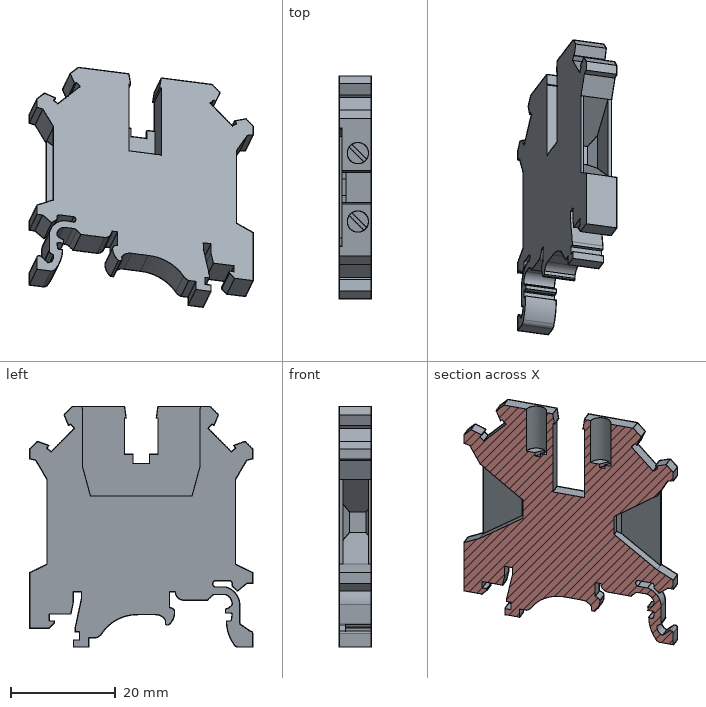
import cadquery as cq

thickness = 6.15
height = 45.9
half_length = 21.25
half_waist = 18.0
shoulder_z = 14.25
waist_bottom_z = 15.85
waist_top_z = 32.0

slot_half_width = 3.15
slot_lip = 0.3
slot_lip_depth = 2.25
notch_half_width = 1.55
notch_ledge_z = 36.8
notch_floor_z = 35.0
web_back_x = 1.35

recess_depth = 0.55
recess_floor_z = 28.83
recess_half_width = 11.15
recess_floor_half_width = 9.7
recess_taper_z = 34.3
recess_flare = 0.15
recess_flare_z = 45.0

screw_x = 3.6
screw_y = 6.5
screw_hole_diameter = 4.05
screw_hole_depth = 9.2
screw_slot_width = 0.75
screw_slot_depth = 0.75
screw_slot_angle = -45

funnel_min_x = 0.75
funnel_max_x = 5.6
funnel_depth = 8.7
funnel_side_slope = 0.6
throat_min_x = 2.0
throat_max_x = 5.1
throat_min_z = 21.9
throat_max_z = 25.75

groove_start_x = 1.25
groove_top_z = 4.35
groove_back_y = -18.05
toe_z = 2.6
lip_y = -20.8
lip_z = 3.08

rail_slot_z = 10.55
seat_z = 8.95
arch_z = 6.2
spring_outer_y = -18.8
spring_tip_y = -17.3
latch_z = 12.15
relief_top_z = 12.65
relief_bottom_z = 11.5

head_side = [
    (half_length, shoulder_z),
    (half_waist, waist_bottom_z),
    (half_waist, waist_top_z),
    (20.1, 35.6),
    (half_length, 35.9),
    (half_length, 37.78),
    (19.8, 39.25),
    (17.6, 38.45),
    (18.0, 37.95),
    (17.15, 37.25),
    (12.75, 41.72),
    (13.5, 42.5),
    (13.85, 42.25),
    (14.75, 44.3),
    (13.15, height),
]


def mirrored(points):
    """Points reflected across the Y = 0 plane, in reverse order."""
    return [(-y, z) for y, z in reversed(points)]


def add_lines(path, points):
    for point in points:
        path = path.lineTo(*point)
    return path


def add_spring_foot(path):
    """Latch, relief slot and flexible hook, from the -Y shoulder to the rail seat."""
    path = path.lineTo(-half_length, latch_z).lineTo(-20.15, latch_z)
    path = path.threePointArc((-19.45, 11.6), (-18.35, 10.7))
    path = path.lineTo(spring_tip_y, 11.65).lineTo(spring_tip_y, latch_z)
    path = path.threePointArc((-17.15, 12.55), (-16.75, relief_top_z))
    path = path.lineTo(-14.05, relief_top_z)
    path = path.threePointArc((-13.65, 12.1), (-14.05, relief_bottom_z))
    path = path.lineTo(-16.05, relief_bottom_z)
    path = path.threePointArc((-17.85, 10.4), (spring_outer_y, 8.12))
    path = path.lineTo(spring_outer_y, 4.55)
    path = path.threePointArc((-18.9, 4.35), (-19.15, 4.2))
    path = path.lineTo(lip_y, lip_z)
    path = path.threePointArc((-21.15, 2.9), (-half_length, toe_z))
    path = add_lines(path, [(-half_length, 0), (-18.45, 0)])
    path = path.threePointArc((-18.0, 0.2), (-17.6, 0.65))
    path = path.threePointArc((-16.6, 2.55), (-16.2, 5.05))
    path = add_lines(path, [
        (-17.05, 5.05),
        (-17.15, 5.25),
        (spring_tip_y, 6.4),
        (-17.07, 6.5),
        (-16.0, 6.5),
        (-16.0, 7.3),
    ])
    path = path.threePointArc((-16.75, 7.57), (spring_tip_y, 8.12))
    path = path.threePointArc((-17.0, 9.3), (-15.95, 10.05))
    path = path.lineTo(-14.2, 10.05)
    path = path.threePointArc((-13.72, 9.95), (-13.4, 9.75))
    return path.lineTo(-12.6, seat_z)


def add_rail_seat(path):
    """Seat, hooked rib and arched underside, running towards +Y."""
    path = path.lineTo(-7.95, seat_z)
    path = path.threePointArc((-6.95, 9.45), (-6.45, rail_slot_z))
    path = add_lines(path, [(-5.4, rail_slot_z), (-5.4, 7.57)])
    path = path.threePointArc((-6.05, 7.35), (-6.4, 6.9))
    path = path.threePointArc((-6.15, 5.5), (-5.25, 4.2))
    path = add_lines(path, [(-4.77, 4.2), (-4.6, 4.45), (-4.6, 5.15)])
    path = path.threePointArc((-3.95, 5.85), (-2.65, arch_z))
    path = path.lineTo(0.6, arch_z)
    path = path.threePointArc((4.95, 5.05), (7.55, 2.6))
    return path.threePointArc((8.0, 2.1), (8.6, 1.8))


def add_fixed_foot(path):
    """Centre leg, rail slot and rigid hook, ending at the +Y heel."""
    return add_lines(path, [
        (9.95, 1.8),
        (9.95, 0),
        (12.95, 0),
        (12.95, 1.4),
        (11.8, 1.4),
        (11.8, 2.95),
        (12.6, 2.95),
        (12.6, 3.63),
        (11.45, 9.2),
        (11.45, rail_slot_z),
        (12.95, rail_slot_z),
        (12.95, 8.5),
        (13.4, 6.35),
        (17.5, 6.35),
        (17.5, 5.05),
        (16.55, 5.05),
        (16.55, 4.6),
        (17.6, 3.6),
        (half_length, 3.6),
    ])


def make_body():
    path = cq.Workplane("YZ").moveTo(*head_side[0])
    path = add_lines(path, head_side[1:] + mirrored(head_side))
    path = add_spring_foot(path)
    path = add_rail_seat(path)
    path = add_fixed_foot(path)
    return path.close().extrude(thickness)


def extruded_polygon(points, start_x, end_x):
    return cq.Workplane("YZ", origin=(start_x, 0, 0)).polyline(points).close().extrude(end_x - start_x)


def make_slot():
    """Stepped notch through the front web and a deeper channel open to +X behind it."""
    lip_bottom_z = height - slot_lip_depth
    mouth_side = [
        (slot_half_width, height),
        (slot_half_width - slot_lip, lip_bottom_z),
        (slot_half_width, lip_bottom_z),
    ]
    notch_side = mouth_side + [
        (slot_half_width, notch_ledge_z),
        (notch_half_width, notch_ledge_z),
        (notch_half_width, notch_floor_z),
    ]
    channel_side = mouth_side + [(slot_half_width, recess_floor_z)]
    notch = extruded_polygon(notch_side + mirrored(notch_side), 0, web_back_x)
    channel = extruded_polygon(channel_side + mirrored(channel_side), web_back_x, thickness)
    return notch.union(channel)


def make_label_recess():
    side = [
        (recess_half_width + recess_flare, height),
        (recess_half_width, recess_flare_z),
        (recess_half_width, recess_taper_z),
        (recess_floor_half_width, recess_floor_z),
    ]
    return extruded_polygon(side + mirrored(side), 0, recess_depth)


def make_screw_hole(y):
    """Screw well with a driver slot sunk into the screw head at its floor."""
    floor_z = height - screw_hole_depth
    floor = cq.Workplane("XY", origin=(screw_x, y, floor_z))
    well = floor.circle(screw_hole_diameter / 2).extrude(screw_hole_depth)
    head = floor.circle(screw_hole_diameter / 2).extrude(-screw_slot_depth)
    bar = (
        floor.transformed(rotate=(0, 0, screw_slot_angle))
        .rect(screw_hole_diameter, screw_slot_width)
        .extrude(-screw_slot_depth)
    )
    return well.union(head.intersect(bar))


def make_funnel():
    """Pyramidal wire entry of the -Y end, bounded in X by two straight walls."""
    def loop(y, min_x, max_x, min_z, max_z):
        corners = [(min_x, min_z), (max_x, min_z), (max_x, max_z), (min_x, max_z)]
        return cq.Wire.makePolygon([cq.Vector(x, y, z) for x, z in corners], close=True)

    spread = funnel_side_slope * funnel_depth
    mouth = loop(-half_waist, throat_min_x - spread, throat_max_x + spread, waist_bottom_z, waist_top_z)
    throat = loop(funnel_depth - half_waist, throat_min_x, throat_max_x, throat_min_z, throat_max_z)
    pyramid = cq.Workplane(cq.Solid.makeLoft([mouth, throat], True))
    width = funnel_max_x - funnel_min_x
    walls = cq.Workplane("XY").box(width, 2 * half_length, height, centered=(False, True, False))
    walls = walls.translate((funnel_min_x, 0, 0))
    return pyramid.intersect(walls)


def make_toe_groove():
    """Undercut behind the toe: rounded nose above, hollow back, rounded lip on the toe."""
    path = cq.Workplane("YZ", origin=(groove_start_x, 0, 0)).moveTo(spring_outer_y, groove_top_z)
    path = path.threePointArc((-18.75, 4.05), (-18.45, 3.85))
    path = path.lineTo(groove_back_y, 3.63)
    path = path.threePointArc((-18.2, 2.45), (-19.1, 1.75))
    path = path.lineTo(-20.3, 2.85)
    path = path.threePointArc((-20.45, 3.05), (lip_y, lip_z))
    path = path.lineTo(lip_y, groove_top_z)
    return path.close().extrude(thickness - groove_start_x)


result = make_body().cut(make_slot()).cut(make_label_recess())
for side in (-1, 1):
    result = result.cut(make_screw_hole(side * screw_y))
funnel = make_funnel()
result = result.cut(funnel).cut(funnel.mirror("XZ"))
result = result.cut(make_toe_groove())